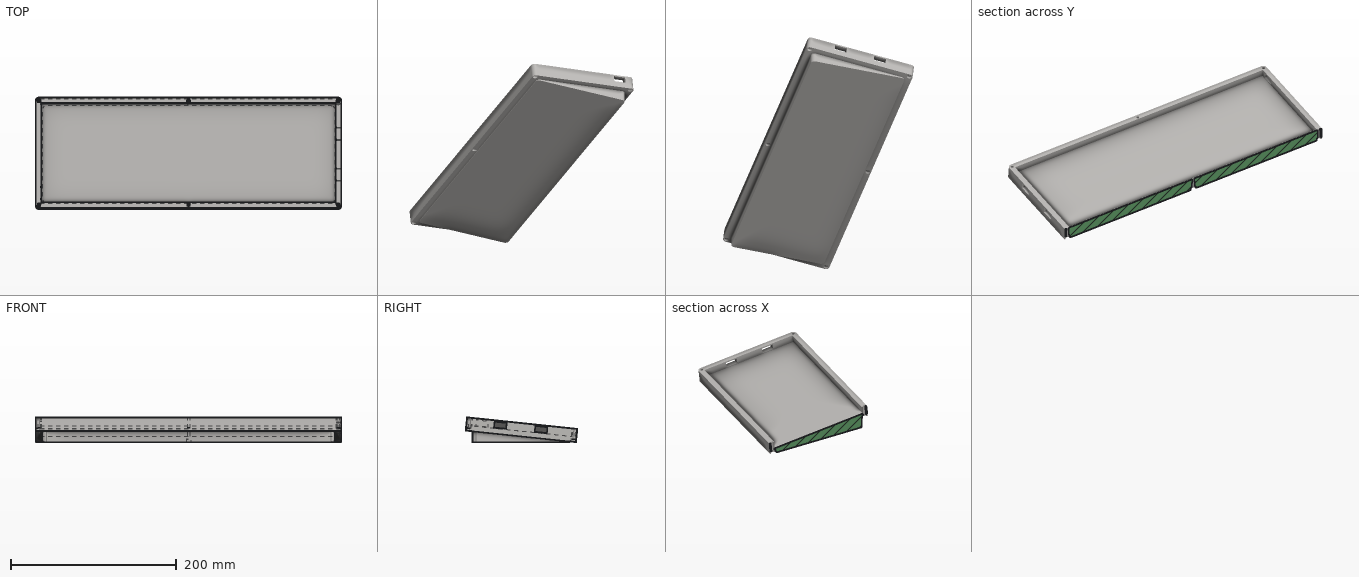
import cadquery as cq
import math

length = 369.0
total_depth = 135.0
total_height = 30.3
tilt = 6.0
corner_radius = 4.5
wall = 6.5
cavity_depth = 9.5

foot_inset = 8.0
back_clearance = 0.1

screw_diameter = 3.4
head_diameter = 6.0
head_depth = 3.5
screw_inset = 4.0

window_length = 14.8
window_height = 7.0
window_top_gap = 2.0
left_window_from_back = 115.5
right_windows_from_back = (43.5, 93.0)

sine = math.sin(math.radians(tilt))
cosine = math.cos(math.radians(tilt))
tilted_height = total_height - back_clearance
tray_depth = (total_depth * cosine - tilted_height * sine) / math.cos(math.radians(2 * tilt))
tray_height = (tilted_height * cosine - total_depth * sine) / math.cos(math.radians(2 * tilt))
floor_thickness = tray_height - cavity_depth


def tilt_into_place(body):
    """Raise the front edge about the lower back edge, which stays at Y = Z = 0."""
    return body.rotate((0, 0, 0), (1, 0, 0), -tilt)


def rounded_block(width, depth, height, center_y):
    block = cq.Workplane("XY").box(width, depth, height, centered=(True, True, False))
    return block.edges("|Z").fillet(corner_radius).translate((0, center_y, 0))


def make_tray_body():
    """Untilted tray with its lower back edge on the X axis."""
    body = rounded_block(length, tray_depth, tray_height, -tray_depth / 2)
    cavity = (
        cq.Workplane("XY")
        .box(length - 2 * wall, tray_depth - 2 * wall, cavity_depth, centered=(True, True, False))
        .translate((0, -tray_depth / 2, floor_thickness))
    )
    return body.cut(cavity)


def make_foot():
    """Upright block trimmed along the sloping underside of the tray."""
    depth = tray_depth * cosine - 2 * foot_inset
    foot = rounded_block(length - 2 * foot_inset, depth, total_height, -foot_inset - depth / 2)
    foot = foot.translate((0, 0, -back_clearance))
    space_below_tray = tilt_into_place(
        cq.Workplane("XY")
        .box(length, 2 * tray_depth, total_height, centered=(True, True, False))
        .translate((0, 0, -total_height))
    )
    return foot.intersect(space_below_tray)


def make_screw_cutters():
    side_x = length / 2 - screw_inset
    points = [
        (x, y)
        for x in (-side_x, 0, side_x)
        for y in (-screw_inset, screw_inset - tray_depth)
    ]
    shafts = cq.Workplane("XY").pushPoints(points).circle(screw_diameter / 2).extrude(tray_height)
    heads = cq.Workplane("XY").pushPoints(points).circle(head_diameter / 2).extrude(head_depth)
    return shafts.union(heads)


def make_window_cutter(side, from_back):
    """Opening through one end wall; side is -1 for the left end and 1 for the right."""
    center_x = side * (length - wall) / 2
    center_z = tray_height - window_top_gap - window_height / 2
    return (
        cq.Workplane("XY")
        .box(2 * wall, window_length, window_height)
        .translate((center_x, -from_back, center_z))
    )


tray = make_tray_body().cut(make_screw_cutters())
tray = tray.cut(make_window_cutter(-1, left_window_from_back))
for distance in right_windows_from_back:
    tray = tray.cut(make_window_cutter(1, distance))

part = tilt_into_place(tray).union(make_foot())
back_overhang = tray_height * sine
result = part.translate((0, total_depth / 2 - back_overhang, back_clearance))